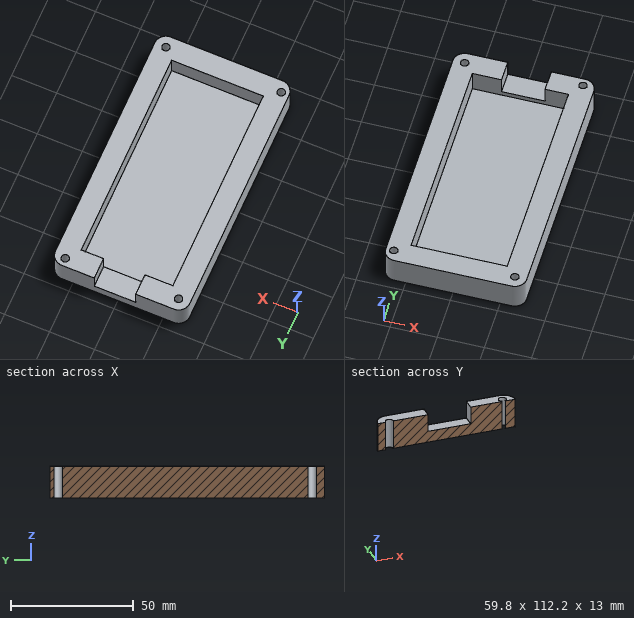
import cadquery as cq

width = 59.8
length = 112.2
height = 13.0
corner_radius = 5.0

rim_width = 9.5
pocket_depth = 10.0

notch_width = 18.4
notch_depth = 7.7
notch_offset = 1.2

hole_diameter = 3.4
corner_inset = corner_radius
edge_inset = 3.5

half_width = width / 2
half_length = length / 2
hole_centers = [
    (-half_width + edge_inset, -half_length + corner_inset),
    (half_width - corner_inset, -half_length + corner_inset),
    (-half_width + corner_inset, half_length - corner_inset),
    (half_width - corner_inset, half_length - edge_inset),
]


def make_block():
    """Block with its base on Z = 0 and rounded vertical corners."""
    block = cq.Workplane("XY").box(width, length, height, centered=(True, True, False))
    return block.edges("|Z").fillet(corner_radius)


def make_pocket():
    """Volume removed inside the rim."""
    floor = cq.Workplane("XY").workplane(offset=height - pocket_depth)
    return floor.rect(width - 2 * rim_width, length - 2 * rim_width).extrude(pocket_depth)


def make_notch():
    """Volume removed from the +Y rim, reaching from the outside to the pocket."""
    floor = cq.Workplane("XY").workplane(offset=height - notch_depth)
    outline = floor.center(notch_offset, half_length - rim_width / 2).rect(notch_width, rim_width)
    return outline.extrude(notch_depth)


def make_holes():
    """Through holes near the four corners."""
    return cq.Workplane("XY").pushPoints(hole_centers).circle(hole_diameter / 2).extrude(height)


result = make_block().cut(make_pocket()).cut(make_notch()).cut(make_holes())